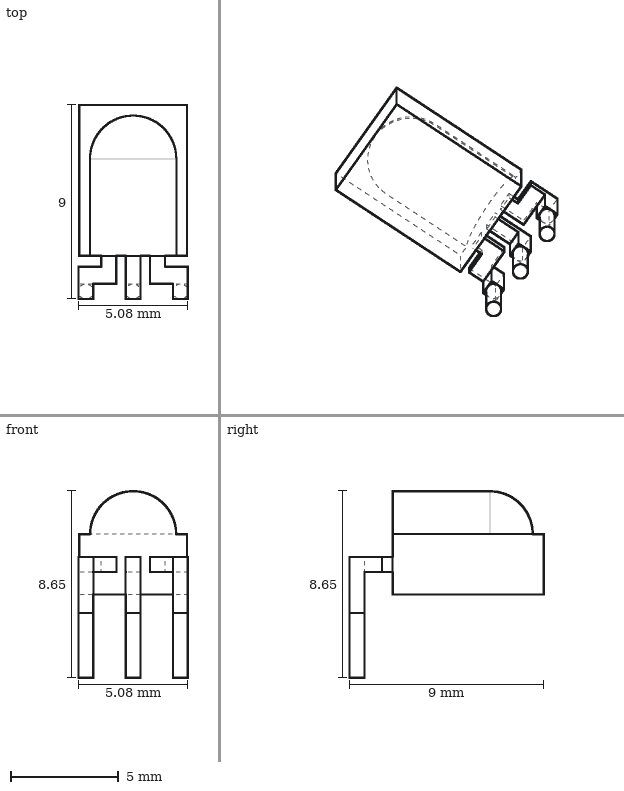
import cadquery as cq

body_width = 5.0
body_length = 7.0
body_height = 2.8

lens_radius = 2.0
lens_back_margin = 0.5
lens_straight_length = body_length - lens_back_margin - lens_radius

lead_size = 0.7
lead_span = 5.08
lead_reach = 2.0
lead_top = (body_height + lead_size) / 2
leg_height = 2.6
pin_diameter = lead_size
pin_length = 3.0
pin_spacing = (lead_span - lead_size) / 2

stub_length = 0.5
stub_inner_x = 0.78
leg_inner_reach = lead_reach - lead_size


def make_body():
    return cq.Workplane("XY").box(body_width, body_length, body_height, centered=(True, False, False))


def make_lens():
    """Cylinder and sphere, of which only the part above the body is kept."""
    barrel = (
        cq.Workplane("XZ", origin=(0, 0, body_height))
        .circle(lens_radius)
        .extrude(-lens_straight_length)
    )
    dome = cq.Workplane("XY").sphere(lens_radius).translate((0, lens_straight_length, body_height))
    upper_half = (
        cq.Workplane("XY", origin=(0, 0, body_height))
        .box(2 * lens_radius, body_length, lens_radius, centered=(True, False, False))
    )
    return barrel.union(dome).intersect(upper_half)


def make_strip(outline):
    """Flat horizontal part of a lead, from its plan outline."""
    return (
        cq.Workplane("XY", origin=(0, 0, lead_top - lead_size))
        .polyline(outline)
        .close()
        .extrude(lead_size)
    )


def make_leg(center_x):
    """Square leg and the round pin below it."""
    center_y = -lead_reach + lead_size / 2
    top = cq.Workplane("XY", origin=(center_x, center_y, lead_top))
    leg = top.rect(lead_size, lead_size).extrude(-leg_height)
    return leg.faces("<Z").workplane().circle(pin_diameter / 2).extrude(pin_length)


def make_middle_lead():
    half = lead_size / 2
    outline = [(-half, 0), (half, 0), (half, -lead_reach), (-half, -lead_reach)]
    return make_strip(outline).union(make_leg(0))


def make_outer_lead(side):
    """Lead that jogs outwards; side is -1 for the -X lead and +1 for the +X lead."""
    stub_outer_x = stub_inner_x + lead_size
    leg_outer_x = lead_span / 2
    leg_inner_x = leg_outer_x - lead_size
    plan = [
        (stub_inner_x, 0),
        (stub_outer_x, 0),
        (stub_outer_x, -stub_length),
        (leg_outer_x, -stub_length),
        (leg_outer_x, -lead_reach),
        (leg_inner_x, -lead_reach),
        (leg_inner_x, -leg_inner_reach),
        (stub_inner_x, -leg_inner_reach),
    ]
    outline = [(side * x, y) for x, y in plan]
    return make_strip(outline).union(make_leg(side * pin_spacing))


result = make_body().union(make_lens()).union(make_middle_lead())
for lead_side in (-1, 1):
    result = result.union(make_outer_lead(lead_side))